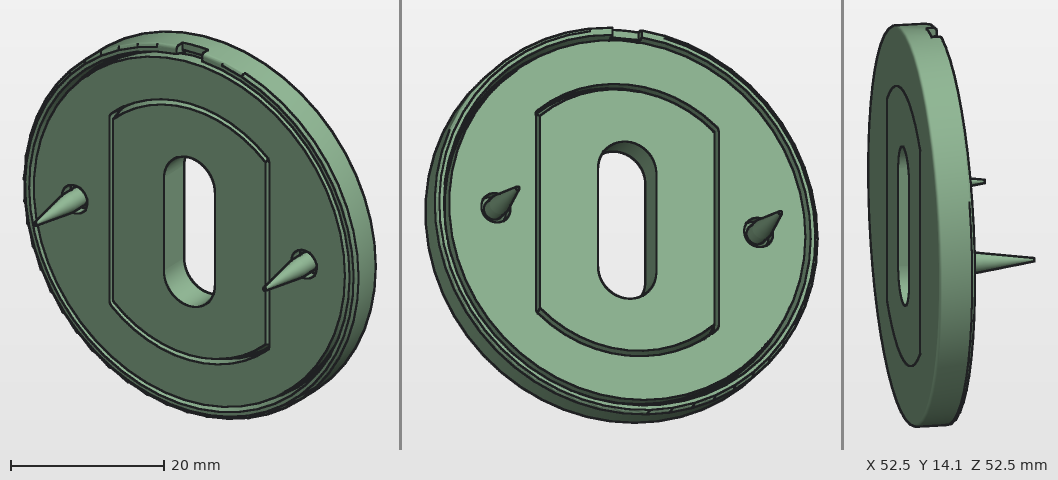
import cadquery as cq


outer_radius = 26.25
thickness = 4.8
recess_depth = 2.0
recess_mouth_radius = 25.15
recess_floor_radius = 24.7
rim_fillet = 0.45
back_fillet = 0.35
notch_width = 4.0
notch_depth = 1.4

plate_radius = 24.4
opening_radius = 18.5
opening_half_width = 12.55
opening_corner_radius = 1.0

insert_radius = 17.75
insert_foot_radius = 18.3
insert_half_width = 11.95
slot_width = 8.0
slot_height = 21.35

pin_offset = 18.0
pin_radius = 1.34
pin_foot_radius = 2.0
pin_foot_height = 1.0
pin_shoulder_reach = 1.6
pin_reach = 9.25
pin_tip_radius = 0.235


def disc(radius, y_start, length):
    """Disc about the Y axis that runs from y_start towards +Y."""
    return cq.Workplane("XZ", origin=(0, y_start, 0)).circle(radius).extrude(-length)


def revolve_about_y(profile):
    """Turn a closed (radius, y) profile around the Y axis."""
    return cq.Workplane("XY").polyline(profile).close().revolve(360, (0, 0), (0, 1))


def flat_sided(round_body, half_width):
    """Cut a round body down to flat sides at X = +-half_width."""
    slab = cq.Workplane("XY").box(2 * half_width, 4 * thickness, 2 * outer_radius)
    return round_body.intersect(slab)


def make_insert_blank():
    """Insert without its slot: tapered arcs in front, straight from the recess floor to the back."""
    profile = [
        (0, 0),
        (insert_radius, 0),
        (insert_foot_radius, recess_depth),
        (insert_foot_radius, thickness),
        (0, thickness),
    ]
    return flat_sided(revolve_about_y(profile), insert_half_width)


def make_insert():
    """Insert with an upright slot through it."""
    slot = (
        cq.Workplane("XZ")
        .slot2D(slot_height, slot_width, 90)
        .extrude(-thickness)
    )
    return make_insert_blank().cut(slot)


def make_housing():
    """Shallow cup with a notch through the top of its rim; the recess wall is relieved below the notch."""
    body = disc(outer_radius, 0, thickness)
    body = body.faces("<Y").edges().fillet(rim_fillet)
    body = body.faces(">Y").edges().fillet(back_fillet)
    recess = revolve_about_y([
        (0, 0),
        (recess_mouth_radius, 0),
        (recess_floor_radius, recess_depth),
        (0, recess_depth),
    ])
    notch = cq.Workplane("XY").box(
        notch_width, notch_depth, outer_radius, centered=(True, False, False)
    )
    notch_relief = cq.Workplane("XY").box(
        notch_width, recess_depth, recess_mouth_radius, centered=(True, False, False)
    )
    return body.cut(recess).cut(notch).cut(notch_relief).cut(make_insert_blank())


def make_plate():
    """Round plate with an opening for the insert and a hole for each pin."""
    opening = flat_sided(disc(opening_radius, 0, recess_depth), opening_half_width)
    opening = opening.edges("|Y").fillet(opening_corner_radius)
    plate = disc(plate_radius, 0, recess_depth).cut(opening)
    pin_holes = (
        cq.Workplane("XZ")
        .pushPoints([(-pin_offset, 0), (pin_offset, 0)])
        .circle(pin_foot_radius)
        .extrude(-recess_depth)
    )
    return plate.cut(pin_holes)


def make_pin(x):
    """Pin on the recess floor: conical foot, straight shank and tapered point."""
    profile = [
        (0, recess_depth),
        (pin_foot_radius, recess_depth),
        (pin_radius, recess_depth - pin_foot_height),
        (pin_radius, -pin_shoulder_reach),
        (pin_tip_radius, -pin_reach),
        (0, -pin_reach),
    ]
    return revolve_about_y(profile).translate((x, 0, 0))


housing = make_housing()
plate = make_plate()
insert = make_insert()
pins = [make_pin(side * pin_offset) for side in (-1, 1)]

result = cq.Compound.makeCompound(
    [body.solids().val() for body in (housing, plate, insert, *pins)]
)